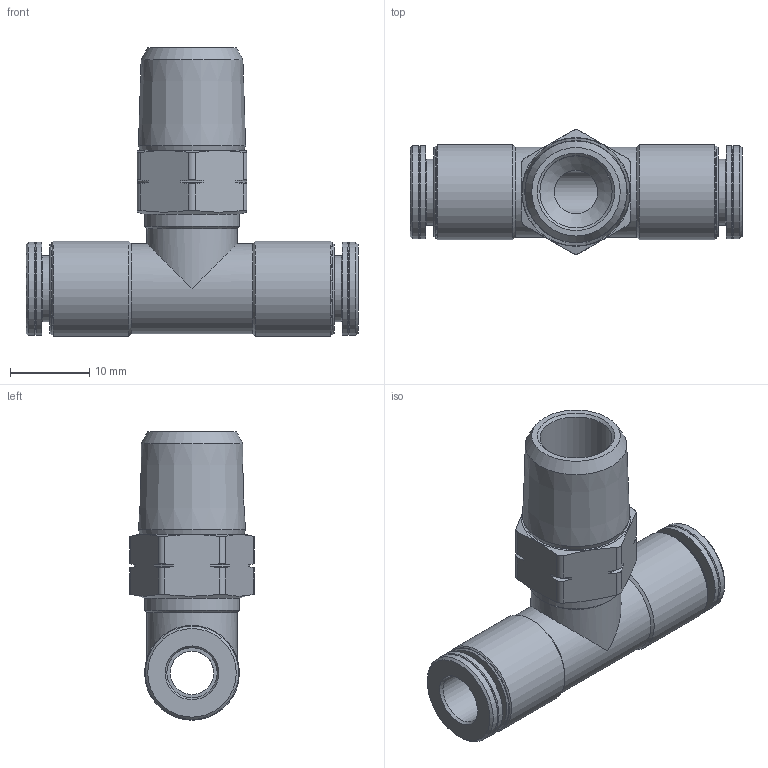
import cadquery as cq
import math

run_half_length = 21.0
body_diameter = 11.4
body_half_length = 7.7

sleeve_diameter = 12.0
sleeve_inner_chamfer = (sleeve_diameter - body_diameter) / 2

cap_diameter = 11.6
cap_end = 18.0
cap_chamfer = 0.2
cap_land = 0.1
sleeve_outer_chamfer_length = 0.15

collar_neck_diameter = 8.35
collar_neck_chamfer = 0.1
collar_diameter = 11.8
collar_width = 2.0
collar_chamfer = 0.3
collar_groove_diameter = 11.6
collar_groove_width = 0.25
collar_groove_offset = 1.2

passage_diameter = 5.5
tube_bore_diameter = 6.35
tube_bore_mouth_diameter = 6.8
tube_bore_mouth_length = 0.38
tube_bore_depth = run_half_length - body_half_length
thread_bore_diameter = 9.14
thread_bore_mouth_diameter = 9.8

branch_top = 30.5
branch_neck_diameter = sleeve_diameter
branch_neck_bottom = 7.6
branch_neck_chamfer = (branch_neck_diameter - body_diameter) / 2

hex_bottom = 9.45
hex_top = 17.5
hex_across_flats = 13.85
hex_corner_radius = 0.9
hex_bevel_angle = math.radians(15)
hex_bottom_face_diameter = branch_neck_diameter
hex_top_face_diameter = 13.75

corner_groove_z = 13.55
corner_groove_bottom_diameter = 14.65
corner_groove_bottom_width = 0.25
corner_groove_mouth_diameter = 16.0
corner_groove_mouth_width = 0.65

thread_taper = 1 / 16
thread_max_diameter = 13.55
thread_relief_diameter = 13.2
thread_relief_height = 0.6
thread_tip_diameter = 11.2
thread_tip_height = 1.5


def revolve_about_z(points):
    """Solid of revolution about Z from a closed (radius, z) outline."""
    return cq.Workplane("XZ").polyline(points).close().revolve(360, (0, 0), (0, 1))


def revolve_symmetric_about_x(half_points):
    """Solid of revolution about X from the +X half of its (x, radius) outline, mirrored to -X."""
    mirrored_points = [(-x, radius) for x, radius in reversed(half_points)]
    return cq.Workplane("XZ").polyline(mirrored_points + half_points).close().revolve(360, (0, 0), (1, 0))


def make_run():
    body_r = body_diameter / 2
    sleeve_r = sleeve_diameter / 2
    cap_r = cap_diameter / 2
    neck_r = collar_neck_diameter / 2
    collar_r = collar_diameter / 2
    groove_r = collar_groove_diameter / 2
    collar_start = run_half_length - collar_width
    groove_middle = run_half_length - collar_groove_offset
    cap_chamfer_start = cap_end - cap_chamfer
    cap_start = cap_chamfer_start - cap_land
    return revolve_symmetric_about_x([
        (body_half_length, body_r),
        (body_half_length + sleeve_inner_chamfer, sleeve_r),
        (cap_start - sleeve_outer_chamfer_length, sleeve_r),
        (cap_start, cap_r),
        (cap_chamfer_start, cap_r),
        (cap_end, cap_r - cap_chamfer),
        (cap_end, neck_r),
        (collar_start - collar_neck_chamfer, neck_r),
        (collar_start, neck_r + collar_neck_chamfer),
        (collar_start, collar_r),
        (groove_middle - collar_groove_width / 2, collar_r),
        (groove_middle, groove_r),
        (groove_middle + collar_groove_width / 2, collar_r),
        (run_half_length - collar_chamfer, collar_r),
        (run_half_length, collar_r - collar_chamfer),
        (run_half_length, 0),
    ])


def make_branch_stem():
    body_r = body_diameter / 2
    neck_r = branch_neck_diameter / 2
    thread_base_z = hex_top + thread_relief_height
    thread_end_z = branch_top - thread_tip_height
    thread_end_diameter = thread_max_diameter - thread_taper * (thread_end_z - thread_base_z)
    return revolve_about_z([
        (0, 0),
        (body_r, 0),
        (body_r, branch_neck_bottom),
        (neck_r, branch_neck_bottom + branch_neck_chamfer),
        (neck_r, hex_top),
        (thread_relief_diameter / 2, hex_top),
        (thread_max_diameter / 2, thread_base_z),
        (thread_end_diameter / 2, thread_end_z),
        (thread_tip_diameter / 2, branch_top),
        (0, branch_top),
    ])


def make_hexagon():
    across_corners = hex_across_flats / math.cos(math.pi / 6)
    hexagon = (
        cq.Workplane("XY")
        .workplane(offset=hex_bottom)
        .transformed(rotate=(0, 0, 30))
        .polygon(6, across_corners)
        .extrude(hex_top - hex_bottom)
        .edges("|Z")
        .fillet(hex_corner_radius)
    )
    outer_r = across_corners / 2
    bottom_r = hex_bottom_face_diameter / 2
    top_r = hex_top_face_diameter / 2
    slope = math.tan(hex_bevel_angle)
    bevel_envelope = revolve_about_z([
        (0, hex_bottom),
        (bottom_r, hex_bottom),
        (outer_r, hex_bottom + (outer_r - bottom_r) * slope),
        (outer_r, hex_top - (outer_r - top_r) * slope),
        (top_r, hex_top),
        (0, hex_top),
    ])
    return hexagon.intersect(bevel_envelope).cut(make_corner_groove())


def make_corner_groove():
    bottom_r = corner_groove_bottom_diameter / 2
    mouth_r = corner_groove_mouth_diameter / 2
    half_bottom = corner_groove_bottom_width / 2
    half_mouth = corner_groove_mouth_width / 2
    return revolve_about_z([
        (bottom_r, corner_groove_z - half_bottom),
        (mouth_r, corner_groove_z - half_mouth),
        (mouth_r, corner_groove_z + half_mouth),
        (bottom_r, corner_groove_z + half_bottom),
    ])


def make_run_bore():
    passage_r = passage_diameter / 2
    bore_r = tube_bore_diameter / 2
    mouth_r = tube_bore_mouth_diameter / 2
    shoulder_x = run_half_length - tube_bore_depth
    return revolve_symmetric_about_x([
        (shoulder_x, passage_r),
        (shoulder_x, bore_r),
        (run_half_length - tube_bore_mouth_length, bore_r),
        (run_half_length, mouth_r),
        (run_half_length, 0),
    ])


def make_branch_bore():
    passage_r = passage_diameter / 2
    bore_r = thread_bore_diameter / 2
    mouth_r = thread_bore_mouth_diameter / 2
    mouth_chamfer = mouth_r - bore_r
    cone_height = bore_r - passage_r
    return revolve_about_z([
        (0, 0),
        (passage_r, 0),
        (passage_r, hex_bottom),
        (bore_r, hex_bottom + cone_height),
        (bore_r, branch_top - mouth_chamfer),
        (mouth_r, branch_top),
        (0, branch_top),
    ])


outside = make_run().union(make_branch_stem()).union(make_hexagon())
passages = make_run_bore().union(make_branch_bore())
result = outside.cut(passages)